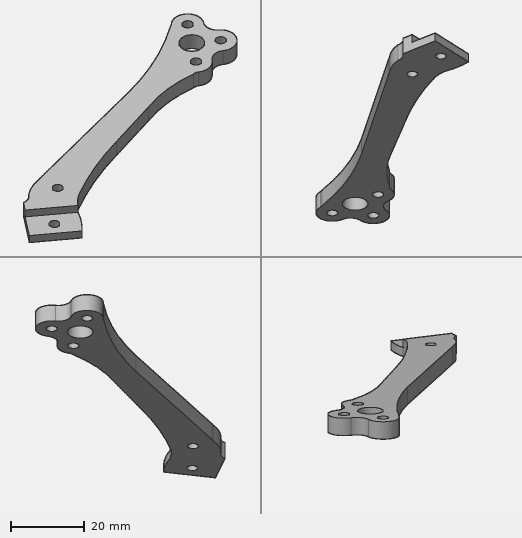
import cadquery as cq
import math

LENGTH = 101
WIDTH = 23.0
THICKNESS = 5.0
TAB_THICKNESS = 2.5

BORE_DIAMETER = 7.0
BOLT_CIRCLE_RADIUS = 8.0
HEAD_HOLE_DIAMETER = 3
LOBE_RADIUS = 4.4
SADDLE_RADIUS = 7.8
FIRST_LOBE_ANGLE = 129
LOBE_STEP = 90
LOBE_ANGLES = [FIRST_LOBE_ANGLE - i * LOBE_STEP for i in range(3)]
LEFT_TANGENT_ANGLE = 210
RIGHT_TANGENT_ANGLE = -48

FOOT_HOLE_DIAMETER = 2.9
FOOT_HOLES = [(0, -71.5), (5.6, -82.6)]
TAB_ANGLE = 38.5
STEP_CORNER = (8.6, -75.1)
TAB_SHOULDER = (10.9, -77.4)

RIGHT_EDGE_X = 3.7
RIGHT_EDGE_TOP = -29.3
RIGHT_EDGE_BOTTOM = -46.5
LEFT_EDGE_TOP = (-4.1, -26.6)
LEFT_EDGE_BOTTOM = (-6.3, -70.4)
BULGE_TOP = (-6.3, -71.3)
NOTCH_TOP = (-5.4, -78.0)
NOTCH_BOTTOM = (-4.8, -81.6)
NECK_LEFT = (-8.6, 2.9)
NECK_RIGHT = (7.2, -11.0)
ANKLE_RIGHT = (6.5, -71.2)


def polar(center, radius, angle):
    """Point at a radius and an angle in degrees around a centre."""
    turn = math.radians(angle)
    return (center[0] + radius * math.cos(turn), center[1] + radius * math.sin(turn))


def lobe_center(angle):
    return polar((0, 0), BOLT_CIRCLE_RADIUS, angle)


half_chord = BOLT_CIRCLE_RADIUS * math.sin(math.radians(LOBE_STEP / 2))
chord_distance = BOLT_CIRCLE_RADIUS * math.cos(math.radians(LOBE_STEP / 2))
saddle_depth = SADDLE_RADIUS - chord_distance
hollow_radius = (half_chord**2 + saddle_depth**2 - LOBE_RADIUS**2) / (2 * (LOBE_RADIUS - saddle_depth))
tangent_tilt = math.degrees(math.atan2(saddle_depth + hollow_radius, half_chord))

first_center = lobe_center(LOBE_ANGLES[0])
TIP = (2.2, first_center[1] + LOBE_RADIUS - LENGTH)
RIGHT_CORNER = (first_center[0] - LOBE_RADIUS + WIDTH, -81.3)


def add_head(path):
    """Run clockwise around the lobes and the hollows between them."""
    lobe_spread = LOBE_STEP / 2 + 90 - tangent_tilt
    for angle in LOBE_ANGLES:
        center = lobe_center(angle)
        start = angle + lobe_spread
        end = angle - lobe_spread
        if angle == LOBE_ANGLES[0]:
            start = LEFT_TANGENT_ANGLE
        else:
            saddle = polar((0, 0), SADDLE_RADIUS, angle + LOBE_STEP / 2)
            path = path.threePointArc(saddle, polar(center, LOBE_RADIUS, start))
        if angle == LOBE_ANGLES[-1]:
            end = RIGHT_TANGENT_ANGLE
        middle = polar(center, LOBE_RADIUS, (start + end) / 2)
        path = path.threePointArc(middle, polar(center, LOBE_RADIUS, end))
    return path


def arm_body():
    path = cq.Workplane("XY").moveTo(*polar(first_center, LOBE_RADIUS, LEFT_TANGENT_ANGLE))
    path = add_head(path)
    path = path.threePointArc((7.5, -10.1), NECK_RIGHT)
    path = path.threePointArc((4.6, -18.7), (RIGHT_EDGE_X, RIGHT_EDGE_TOP))
    path = path.lineTo(RIGHT_EDGE_X, RIGHT_EDGE_BOTTOM)
    path = path.threePointArc((4.3, -59.4), ANKLE_RIGHT)
    path = path.threePointArc((7.3, -73.1), STEP_CORNER)
    path = path.threePointArc(TAB_SHOULDER, RIGHT_CORNER)
    path = path.lineTo(*TIP)
    path = path.lineTo(*NOTCH_BOTTOM)
    path = path.threePointArc((-4.5, -79.8), NOTCH_TOP)
    path = path.threePointArc((-6.3, -74.8), BULGE_TOP)
    path = path.lineTo(*LEFT_EDGE_BOTTOM)
    path = path.lineTo(*LEFT_EDGE_TOP)
    path = path.threePointArc((-5.6, -8.1), NECK_LEFT)
    return path.close().extrude(THICKNESS)


def step_cutter():
    """Block that removes the upper layer beyond the step line."""
    reach = 2 * WIDTH
    block = cq.Workplane("XY").box(2 * reach, reach, THICKNESS, centered=(True, False, False))
    block = block.translate((0, -reach, TAB_THICKNESS))
    block = block.rotate((0, 0, 0), (0, 0, 1), TAB_ANGLE)
    return block.translate((*STEP_CORNER, 0))


def through_holes(points, diameter):
    return cq.Workplane("XY").pushPoints(points).circle(diameter / 2).extrude(THICKNESS)


result = (
    arm_body()
    .cut(step_cutter())
    .cut(through_holes([(0, 0)], BORE_DIAMETER))
    .cut(through_holes([lobe_center(angle) for angle in LOBE_ANGLES], HEAD_HOLE_DIAMETER))
    .cut(through_holes(FOOT_HOLES, FOOT_HOLE_DIAMETER))
)